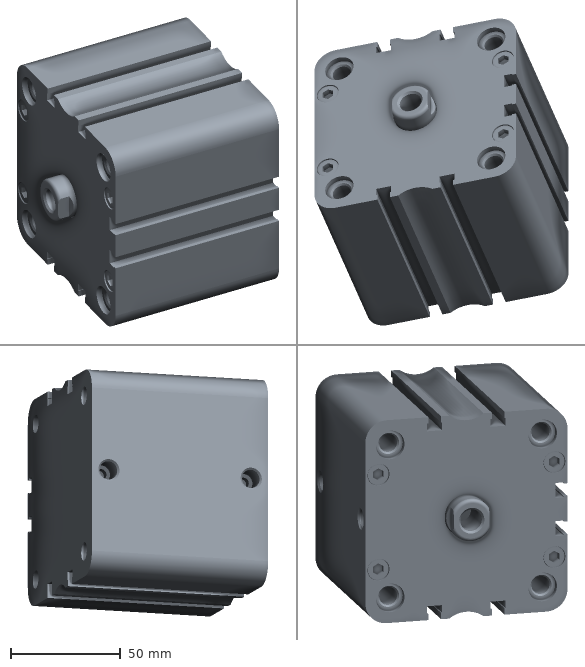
import cadquery as cq
import math

side = 95.5
total_length = 93.0
rod_length = 8.8
block_length = total_length - rod_length
corner_radius = 10.0
half = side / 2

slot_width = 7.1
neck_width = 6.0
face_slot_offset = 15.0
face_slot_depth = 6.6
face_neck_depth = 3.0
side_slot_offset = 9.0
side_slot_depth = 5.7
side_neck_depth = 1.8

channel_width = 16.2
channel_depth = 2.7

mount_offset = 36.0
mount_diameter = 8.4
mount_chamfer_diameter = 9.9
mount_counterbore_diameter = 13.5
mount_counterbore_depth = 2.9

screw_x = 41.5
screw_z = 22.3
screw_bore_diameter = 10.3
screw_head_diameter = 9.8
screw_recess_depth = 0.5
screw_gap_depth = 1.9
hex_across_flats = 5.0
hex_depth = 3.3

port_inset = 8.1
port_mouth_diameter = 10.1
port_diameter = 8.4
port_depth = 11.5
passage_diameter = 5.0
passage_depth = 15.3

rod_diameter = 20.0
rod_bore_diameter = 20.5
rod_gap_depth = 1.9
rod_fillet = 1.7
rod_across_flats = 16.8
flat_length = 5.7
rod_hole_diameter = 10.1
rod_hole_mouth_diameter = 12.0
rod_hole_depth = 19.1

overlap = 1.0


def front_plane(y=0.0):
    """Plane facing -Y at the given Y, with local x = X and local y = Z."""
    return cq.Workplane("XZ", origin=(0, y, 0))


def drill(diameter, depth, mouth_diameter):
    """Blind hole along +Z from the origin with a 45 degree chamfer at its mouth."""
    radius = diameter / 2
    mouth_radius = mouth_diameter / 2
    chamfer = mouth_radius - radius
    return (
        cq.Workplane("XZ")
        .polyline([(0, 0), (mouth_radius, 0), (radius, chamfer), (radius, depth), (0, depth)])
        .close()
        .revolve(360, (0, 0, 0), (0, 1, 0))
    )


def drill_into_front(diameter, depth, mouth_diameter, start):
    """The same hole, running along +Y from the start point."""
    hole = drill(diameter, depth, mouth_diameter)
    return hole.rotate((0, 0, 0), (1, 0, 0), -90).translate(start)


def t_slot(offset, depth, neck_depth):
    """T-slot cutter in the top face, along the whole block."""
    def bar(width, bottom, top):
        profile = front_plane().center(offset, (bottom + top) / 2).rect(width, top - bottom)
        return profile.extrude(-block_length)

    floor = half - depth
    neck = bar(neck_width, floor, half + overlap)
    return neck.union(bar(slot_width, floor, half - neck_depth))


def channel():
    """Circular-arc channel cutter in the top face."""
    half_width = channel_width / 2
    return (
        front_plane()
        .moveTo(-half_width, half)
        .threePointArc((0, half - channel_depth), (half_width, half))
        .close()
        .extrude(-block_length)
    )


def mounting_hole(x, z):
    """Counterbored through hole with a chamfer at the counterbore floor."""
    counterbore = front_plane().center(x, z).circle(mount_counterbore_diameter / 2)
    floor = (x, mount_counterbore_depth, z)
    hole = drill_into_front(mount_diameter, block_length, mount_chamfer_diameter, floor)
    return counterbore.extrude(-mount_counterbore_depth).union(hole)


def screw_recess(x, z):
    """Bore around a sunken screw head together with the hexagon socket in the head."""
    across_corners = hex_across_flats / math.cos(math.pi / 6)
    bore = front_plane().circle(screw_bore_diameter / 2).extrude(-screw_gap_depth)
    head = front_plane(screw_recess_depth).circle(screw_head_diameter / 2).extrude(-screw_gap_depth)
    socket = front_plane().polygon(6, across_corners).extrude(-hex_depth).rotate((0, 0, 0), (0, 1, 0), 30)
    return bore.cut(head).union(socket).translate((x, 0, z))


def port(y):
    """Stepped port running along +X from the -X side."""
    hole = drill(port_diameter, port_depth, port_mouth_diameter)
    passage = cq.Workplane("XY").circle(passage_diameter / 2).extrude(passage_depth)
    return hole.union(passage).rotate((0, 0, 0), (0, 1, 0), 90).translate((-half, y, 0))


def rod_end():
    """Round rod end with a rounded rim and two wrench flats on its X sides."""
    rod = front_plane(rod_gap_depth).circle(rod_diameter / 2).extrude(rod_length + rod_gap_depth)
    rod = rod.faces("<Y").edges().fillet(rod_fillet)
    flat_x = rod_across_flats / 2
    outer_x = rod_diameter / 2 + overlap
    flat_start = flat_length - rod_length
    flat = (
        cq.Workplane("XY")
        .polyline([
            (flat_x, -rod_length - overlap),
            (flat_x, flat_start),
            (outer_x, flat_start + outer_x - flat_x),
            (outer_x, -rod_length - overlap),
        ])
        .close()
        .extrude(rod_diameter / 2, both=True)
    )
    return rod.cut(flat).cut(flat.mirror("YZ"))


block = front_plane().rect(side, side).extrude(-block_length).edges("|Y").fillet(corner_radius)

for sign in (-1, 1):
    slot = t_slot(sign * face_slot_offset, face_slot_depth, face_neck_depth)
    block = block.cut(slot).cut(slot.mirror("XY"))
block = block.cut(channel()).cut(channel().mirror("XY"))

for sign in (-1, 1):
    slot = t_slot(sign * side_slot_offset, side_slot_depth, side_neck_depth)
    block = block.cut(slot.rotate((0, 0, 0), (0, 1, 0), 90))

for x_sign in (-1, 1):
    for z_sign in (-1, 1):
        block = block.cut(mounting_hole(x_sign * mount_offset, z_sign * mount_offset))
        block = block.cut(screw_recess(x_sign * screw_x, z_sign * screw_z))

for y in (port_inset, block_length - port_inset):
    block = block.cut(port(y))

block = block.cut(front_plane().circle(rod_bore_diameter / 2).extrude(-rod_gap_depth))
rod_hole = drill_into_front(rod_hole_diameter, rod_hole_depth, rod_hole_mouth_diameter, (0, -rod_length, 0))
result = block.union(rod_end()).cut(rod_hole)